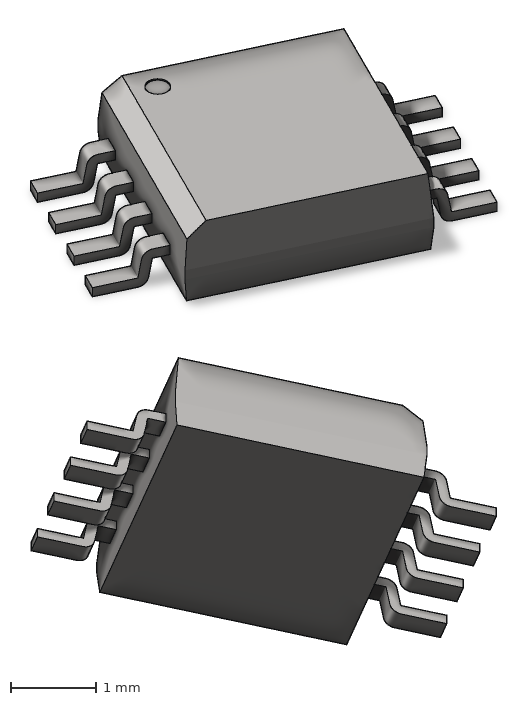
import cadquery as cq
import math

BODY_SIDE = 3.1
BODY_BOTTOM = 0.045
BODY_TOP = 1.15
DRAFT = 5.0
BEVEL_RUN = 0.225
BEVEL_DROP = 0.2

MARK_RADIUS = 0.15
MARK_DEPTH = 0.02
MARK_X = -1.155
MARK_Y = -0.94

LEAD_SPAN = 5.04
LEAD_COUNT = 4
LEAD_PITCH = 0.65
LEAD_WIDTH = 0.25
LEAD_THICKNESS = 0.135
LEAD_ROW_X = -0.075
SHOULDER_TOP = 0.52
SHANK_REACH = 0.31
SHANK_LEAN = 10.0
INNER_BEND = 0.01
LEAD_EMBED = 0.15

OUTER_BEND = INNER_BEND + LEAD_THICKNESS
SHOULDER_BOTTOM = SHOULDER_TOP - LEAD_THICKNESS
HALF_BODY = BODY_SIDE / 2


def make_body():
    """Straight band as thick as the leads, with drafted halves above and below."""
    def footprint(z):
        return cq.Workplane("XY").workplane(offset=z).rect(BODY_SIDE, BODY_SIDE)

    band = footprint(SHOULDER_BOTTOM).extrude(LEAD_THICKNESS)
    upper = footprint(SHOULDER_TOP).extrude(BODY_TOP - SHOULDER_TOP, taper=DRAFT)
    lower = footprint(SHOULDER_BOTTOM).extrude(BODY_BOTTOM - SHOULDER_BOTTOM, taper=DRAFT)
    return band.union(upper).union(lower)


def make_bevel():
    """Wedge that removes the top edge along the pin 1 side."""
    draft_slope = math.tan(math.radians(DRAFT))
    top_edge = -HALF_BODY + (BODY_TOP - SHOULDER_TOP) * draft_slope
    inner = (top_edge + BEVEL_RUN, BODY_TOP)
    lower = (top_edge - BEVEL_DROP * draft_slope, BODY_TOP - BEVEL_DROP)
    return (
        cq.Workplane("YZ")
        .polyline([inner, lower, (-HALF_BODY, lower[1]), (-HALF_BODY, BODY_TOP)])
        .close()
        .extrude(HALF_BODY, both=True)
    )


def make_mark():
    """Shallow round recess beside pin 1."""
    return (
        cq.Workplane("XY")
        .workplane(offset=BODY_TOP - MARK_DEPTH)
        .center(MARK_X, MARK_Y)
        .circle(MARK_RADIUS)
        .extrude(MARK_DEPTH)
    )


def make_lead():
    """One lead on the -Y side, centred on X = 0 and standing on Z = 0."""
    lean = math.radians(SHANK_LEAN)
    shank_y = -HALF_BODY - SHANK_REACH
    half_shank = LEAD_THICKNESS / math.cos(lean) / 2

    def shank_point(z, offset):
        return (shank_y + offset + (z - SHOULDER_TOP / 2) * math.tan(lean), z)

    toe = -LEAD_SPAN / 2
    root = -HALF_BODY + LEAD_EMBED
    knee_outer = shank_point(SHOULDER_TOP, -half_shank)
    knee_inner = shank_point(SHOULDER_BOTTOM, half_shank)
    ankle_inner = shank_point(LEAD_THICKNESS, -half_shank)
    ankle_outer = shank_point(0, half_shank)
    lead = (
        cq.Workplane("YZ")
        .polyline([
            (toe, 0), ankle_outer, knee_inner, (root, SHOULDER_BOTTOM),
            (root, SHOULDER_TOP), knee_outer, ankle_inner, (toe, LEAD_THICKNESS),
        ])
        .close()
        .extrude(LEAD_WIDTH / 2, both=True)
    )
    bends = [
        (knee_outer, OUTER_BEND),
        (ankle_outer, OUTER_BEND),
        (knee_inner, INNER_BEND),
        (ankle_inner, INNER_BEND),
    ]
    for (y, z), radius in bends:
        lead = lead.edges("|X").edges(cq.NearestToPointSelector((0, y, z))).fillet(radius)
    return lead


result = make_body().cut(make_bevel()).cut(make_mark())

front_lead = make_lead()
back_lead = front_lead.mirror("XZ")
for index in range(LEAD_COUNT):
    lead_x = LEAD_ROW_X + (index - (LEAD_COUNT - 1) / 2) * LEAD_PITCH
    for lead in (front_lead, back_lead):
        result = result.union(lead.translate((lead_x, 0, 0)))